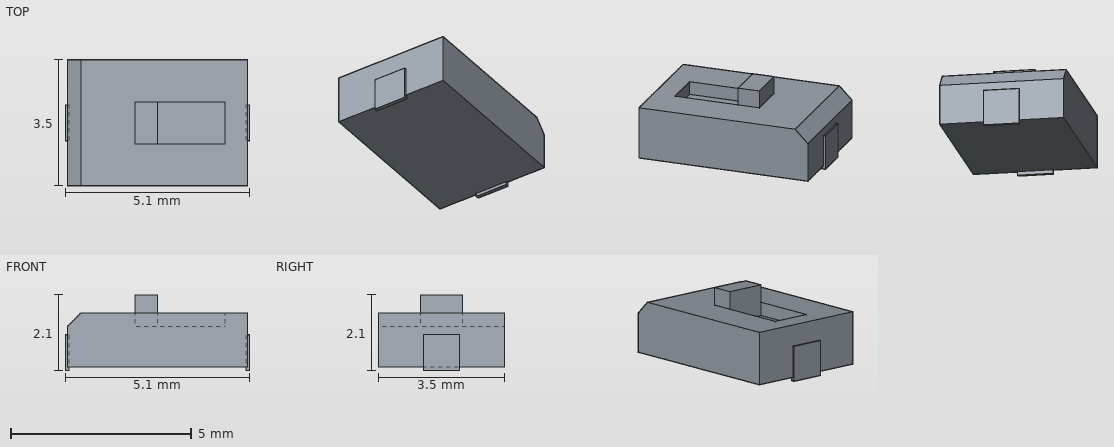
import cadquery as cq

overall_length = 5.1
terminal_protrusion = 0.05
housing_length = overall_length - 2 * terminal_protrusion
housing_width = 3.5
housing_height = 1.5
housing_chamfer = 0.375

slot_length = housing_length / 2
slot_width = housing_width / 3
slot_depth = 0.375
slot_end_margin = 0.625
slot_right = housing_length / 2 - slot_end_margin
slot_left = slot_right - slot_length

slider_length = 0.625
slider_rise = 0.5

terminal_thickness = 2 * terminal_protrusion
terminal_width = 1.0
terminal_height = 1.0
terminal_drop = 0.1


def block(length, width, height, center_x, bottom_z):
    """Box centred on Y = 0 and standing on the given height."""
    return (
        cq.Workplane("XY")
        .box(length, width, height, centered=(True, True, False))
        .translate((center_x, 0, bottom_z))
    )


def make_terminal(side):
    """Terminal plate at the -X (side = -1) or +X (side = 1) end."""
    center_x = side * (overall_length - terminal_thickness) / 2
    return block(terminal_thickness, terminal_width, terminal_height, center_x, -terminal_drop)


def make_slider():
    """Slider block standing on the slot floor."""
    center_x = slot_left + slider_length / 2
    floor_z = housing_height - slot_depth
    return block(slider_length, slot_width, slot_depth + slider_rise, center_x, floor_z)


def make_housing(terminals):
    """Chamfered housing with the slider slot and a recess for each terminal."""
    housing = block(housing_length, housing_width, housing_height, 0, 0)
    housing = housing.edges("<X and >Z").chamfer(housing_chamfer)
    slot_center_x = (slot_left + slot_right) / 2
    slot = block(slot_length, slot_width, slot_depth, slot_center_x, housing_height - slot_depth)
    housing = housing.cut(slot)
    for terminal in terminals:
        housing = housing.cut(terminal)
    return housing


terminals = [make_terminal(side) for side in (-1, 1)]
slider = make_slider()
housing = make_housing(terminals)

result = cq.Compound.makeCompound(
    [housing.val(), slider.val(), *[terminal.val() for terminal in terminals]]
)